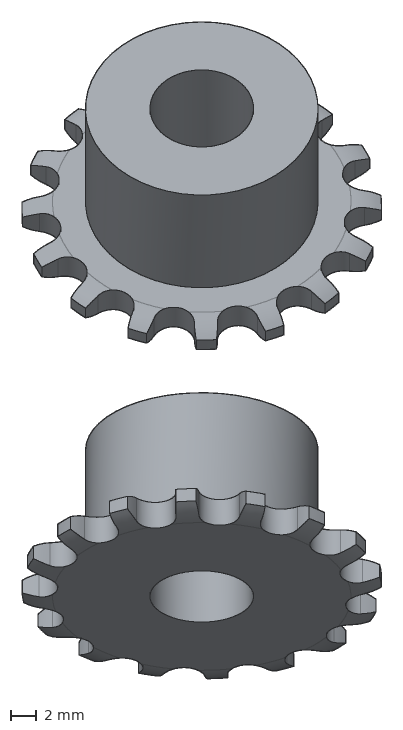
import cadquery as cq
import math

tooth_count = 16
outer_radius = 13.9
pitch_radius = 12.82
roller_seat_radius = 1.6
tip_half_width = 0.78
ring_thickness = 2.28

bevel_width = 2.35
bevel_depth = 0.58

hub_diameter = 18.0
bore_diameter = 8.0
total_height = 13.0

tooth_angle = 360.0 / tooth_count


def beveled_disc():
    """Disc whose rim narrows along arcs that start tangent to the flat faces."""
    flat_radius = outer_radius - bevel_width
    mid_height = ring_thickness / 2
    lower_half = (
        cq.Workplane("XZ")
        .moveTo(0, mid_height)
        .lineTo(0, 0)
        .lineTo(flat_radius, 0)
        .tangentArcPoint((outer_radius, bevel_depth), relative=False)
        .lineTo(outer_radius, mid_height)
        .close()
        .revolve(360, (0, 0, 0), (0, 1, 0))
    )
    return lower_half.union(lower_half.mirror("XY", (0, 0, mid_height)))


def tooth_gap():
    """Cutter for the gap centred on +X, reaching from the roller seat past the tooth tips.

    Each flank leaves the seat parallel to the axis of its tooth, then curves to the tip.
    """
    half_angle = math.radians(tooth_angle / 2)
    seat_bottom = pitch_radius - roller_seat_radius
    seat_end_x = pitch_radius - roller_seat_radius * math.sin(half_angle)
    seat_end_y = roller_seat_radius * math.cos(half_angle)

    tip_angle = half_angle - math.asin(tip_half_width / outer_radius)
    tip_x = outer_radius * math.cos(tip_angle)
    tip_y = outer_radius * math.sin(tip_angle)
    clear_x = outer_radius + roller_seat_radius

    upper_half = (
        cq.Workplane("XY")
        .moveTo(seat_bottom, 0)
        .radiusArc((seat_end_x, seat_end_y), roller_seat_radius)
        .tangentArcPoint((tip_x, tip_y), relative=False)
        .lineTo(clear_x, tip_y)
        .lineTo(clear_x, 0)
        .close()
        .extrude(ring_thickness)
    )
    return upper_half.union(upper_half.mirror("XZ"))


def sprocket_ring():
    ring = beveled_disc()
    gap = tooth_gap()
    for index in range(tooth_count):
        gap_angle = (index + 0.5) * tooth_angle
        ring = ring.cut(gap.rotate((0, 0, 0), (0, 0, 1), gap_angle))
    return ring


hub = cq.Workplane("XY").circle(hub_diameter / 2).extrude(total_height)
bore = cq.Workplane("XY").circle(bore_diameter / 2).extrude(total_height)

result = sprocket_ring().union(hub).cut(bore)